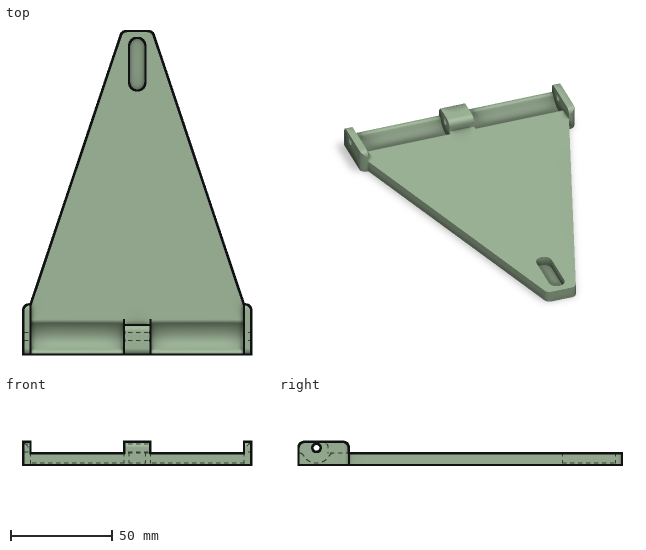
import cadquery as cq

WIDTH = 113.0
LENGTH = 160.2
HEIGHT = 11.5

PLATE_THICKNESS = 6.0
TIP_WIDTH = 15.0
CORNER_RADIUS = 3.0

LUG_WIDTH = 3.7
LUG_LENGTH = 25.0
HUB_WIDTH = 13.0
HUB_LENGTH = 14.7
PIN_DIAMETER = 4.0
PIN_Y = 9.0
PIN_Z = HEIGHT - CORNER_RADIUS

GROOVE_RADIUS = 7.5
RIM_RADIUS = 2.0

SLOT_WIDTH = 8.0
SLOT_LENGTH = 26.1
SLOT_TIP_GAP = 3.4
SLOT_DEPTH = 5.0

inner_width = WIDTH - 2 * LUG_WIDTH


def cylinder_on_pin_axis(radius, width):
    """Cylinder along X on the pin axis, centred on X = 0."""
    return cq.Workplane("YZ").center(PIN_Y, PIN_Z).circle(radius).extrude(width / 2, both=True)


def make_plate():
    """Straight hinge strip that tapers to a rounded tip."""
    half_base = inner_width / 2
    half_tip = TIP_WIDTH / 2
    outline = [
        (-half_base, 0),
        (half_base, 0),
        (half_base, LUG_LENGTH),
        (half_tip, LENGTH),
        (-half_tip, LENGTH),
        (-half_base, LUG_LENGTH),
    ]
    plate = cq.Workplane("XY").polyline(outline).close().extrude(PLATE_THICKNESS)
    return plate.edges("|Z and >Y").fillet(CORNER_RADIUS)


def cut_groove(plate):
    """Cut the groove and round both of its rims."""
    grooved = plate.cut(cylinder_on_pin_axis(GROOVE_RADIUS, inner_width))
    rim_half_span = (GROOVE_RADIUS**2 - (PIN_Z - PLATE_THICKNESS) ** 2) ** 0.5
    for rim_y in (PIN_Y - rim_half_span, PIN_Y + rim_half_span):
        rim = cq.selectors.NearestToPointSelector((0, rim_y, PLATE_THICKNESS))
        grooved = grooved.edges(rim).fillet(RIM_RADIUS)
    return grooved


def make_block(width, length, center_x):
    """Full-height block from the front edge, with its top front and back edges rounded."""
    block = cq.Workplane("XY").box(width, length, HEIGHT, centered=(True, False, False))
    return block.edges("|X and >Z").fillet(CORNER_RADIUS).translate((center_x, 0, 0))


def make_side_lug(side):
    """End lug whose outer back corner is rounded; side is -1 or 1."""
    center_x = side * (WIDTH - LUG_WIDTH) / 2
    footprint = cq.Workplane("XY").box(LUG_WIDTH, LUG_LENGTH, HEIGHT, centered=(True, False, False))
    outer_corner = "|Z and >Y and >X" if side > 0 else "|Z and >Y and <X"
    footprint = footprint.edges(outer_corner).fillet(CORNER_RADIUS).translate((center_x, 0, 0))
    return make_block(LUG_WIDTH, LUG_LENGTH, center_x).intersect(footprint)


def make_hub():
    """Middle lug, on a strip of plate that the groove does not cross."""
    bridge = cq.Workplane("XY").box(
        HUB_WIDTH, LUG_LENGTH, PLATE_THICKNESS, centered=(True, False, False)
    )
    return bridge.union(make_block(HUB_WIDTH, HUB_LENGTH, 0))


def make_slot():
    """Cutter for the blind slot."""
    slot_y = LENGTH - SLOT_TIP_GAP - SLOT_LENGTH / 2
    top = cq.Workplane("XY").workplane(offset=PLATE_THICKNESS).center(0, slot_y)
    return top.slot2D(SLOT_LENGTH, SLOT_WIDTH, 90).extrude(-SLOT_DEPTH)


result = cut_groove(make_plate()).cut(make_slot())
result = result.union(make_hub())
for lug_side in (-1, 1):
    result = result.union(make_side_lug(lug_side))
result = result.cut(cylinder_on_pin_axis(PIN_DIAMETER / 2, WIDTH))